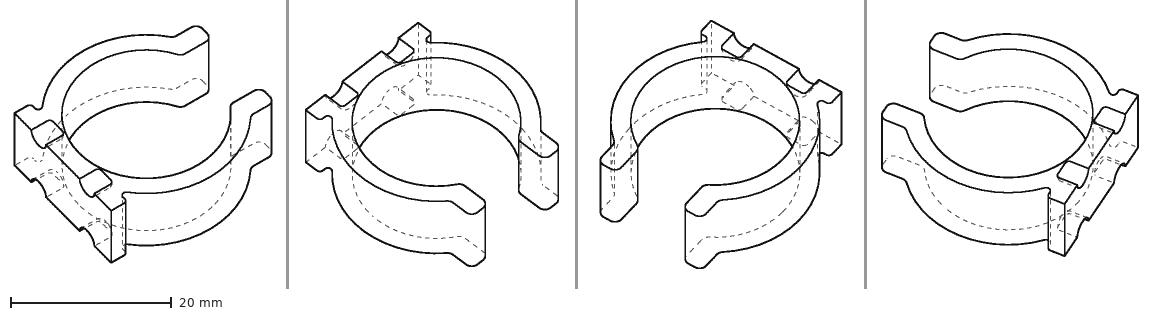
import cadquery as cq
import math

length = 27.0
height = 10.0
outer_radius = 26.0 / 2
bore_radius = 21.0 / 2

base_width = 20.0
base_thickness = 2.5
base_bottom = -outer_radius
base_top = base_bottom + base_thickness
base_corner_radius = 0.5
base_notch_radius = 0.5

mouth_width = 10.0
arm_thickness = 3.0
arm_radius = 1.0
arm_inner_x = mouth_width / 2
arm_outer_x = arm_inner_x + arm_thickness
arm_tip = length - outer_radius

hole_radius = 1.5
hole_depth = 3.0
hole_end_radius = 0.5
hole_spacing = 10.0


def height_on_circle(radius, x):
    """Positive Y of a circle about the origin at the given X."""
    return math.sqrt(radius**2 - x**2)


def block(x_min, x_max, y_min, y_max):
    """Full-height block between the given X and Y limits."""
    size_x = x_max - x_min
    size_y = y_max - y_min
    solid = cq.Workplane("XY").box(size_x, size_y, height, centered=False)
    return solid.translate((x_min, y_min, 0))


def round_mirrored_edges(solid, x, y, radius):
    """Fillet the vertical edges at (x, y) and (-x, y)."""
    for side in (-1, 1):
        edge = cq.selectors.NearestToPointSelector((side * x, y, height / 2))
        solid = solid.edges("|Z").edges(edge).fillet(radius)
    return solid


def blind_hole(x, z):
    """Cutter entering from the base with a rounded blind end."""
    cutter = cq.Workplane("XZ").circle(hole_radius).extrude(-hole_depth)
    cutter = cutter.faces(">Y").edges().fillet(hole_end_radius)
    return cutter.translate((x, base_bottom, z))


clip = cq.Workplane("XY").circle(outer_radius).extrude(height)
clip = clip.union(block(-base_width / 2, base_width / 2, base_bottom, base_top))
arm_root = height_on_circle(bore_radius, arm_inner_x)
clip = clip.union(block(-arm_outer_x, arm_outer_x, arm_root, arm_tip))
clip = clip.cut(cq.Workplane("XY").circle(bore_radius).extrude(height))
clip = clip.cut(block(-arm_inner_x, arm_inner_x, 0, arm_tip))

clip = round_mirrored_edges(clip, arm_inner_x, arm_tip, arm_radius)
clip = round_mirrored_edges(clip, arm_outer_x, arm_tip, arm_radius)
clip = round_mirrored_edges(clip, arm_inner_x, arm_root, arm_radius)
arm_shoulder = height_on_circle(outer_radius, arm_outer_x)
clip = round_mirrored_edges(clip, arm_outer_x, arm_shoulder, arm_radius)

notch_x = height_on_circle(outer_radius, base_top)
clip = round_mirrored_edges(clip, notch_x, base_top, base_notch_radius)
clip = round_mirrored_edges(clip, base_width / 2, base_top, base_corner_radius)

for hole_x in (-hole_spacing / 2, hole_spacing / 2):
    for hole_z in (0, height):
        clip = clip.cut(blind_hole(hole_x, hole_z))

result = clip